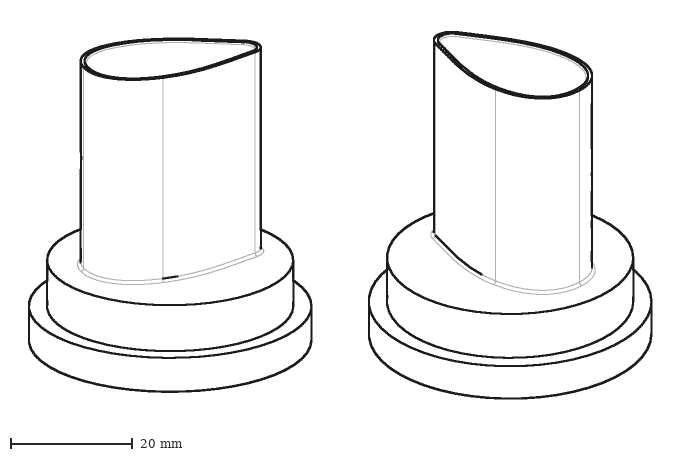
import cadquery as cq
import math

total_height = 50.0
flange_diameter = 46.4
flange_height = 6.0
hub_diameter = 40.4
hub_top = 14.1

grip_half_width = 8.65
widest_y = -4.25
blunt_end_y = -15.0
tip_radius = 3.0
tip_end_y = 15.55
tip_angle = math.radians(25)
side_handle = 6.5
blunt_fullness = 0.62

root_fillet = 0.5
rim_width = 0.65
recess_depth = 0.35
recess_fillet = 0.3


def mirrored(points):
    return [(-x, y) for x, y in points]


def teardrop(inset=0.0):
    """Teardrop drawn inset from the grip wall: round tip, swelling sides and a full blunt end."""
    half_width = grip_half_width - inset
    end_y = blunt_end_y + inset
    arc_radius = tip_radius - inset
    join_x = arc_radius * math.cos(tip_angle)
    join_y = tip_end_y - tip_radius + arc_radius * math.sin(tip_angle)

    side = [
        (join_x, join_y),
        (join_x + side_handle * math.sin(tip_angle), join_y - side_handle * math.cos(tip_angle)),
        (half_width, widest_y + side_handle),
        (half_width, widest_y),
    ]
    blunt_end = [
        (half_width, widest_y),
        (half_width, widest_y + blunt_fullness * (end_y - widest_y)),
        (blunt_fullness * half_width, end_y),
        (0, end_y),
    ]
    return (
        cq.Workplane("XY")
        .moveTo(join_x, join_y)
        .threePointArc((0, tip_end_y - inset), (-join_x, join_y))
        .bezier(mirrored(side))
        .bezier(mirrored(blunt_end))
        .bezier(blunt_end[::-1])
        .bezier(side[::-1])
        .close()
    )


def make_base():
    flange = cq.Workplane("XY").circle(flange_diameter / 2).extrude(flange_height)
    hub = cq.Workplane("XY").circle(hub_diameter / 2).extrude(hub_top)
    return flange.union(hub)


def make_grip():
    grip = teardrop().extrude(total_height - hub_top)
    return grip.translate((0, 0, hub_top))


def make_recess():
    """Shallow pocket in the grip's top, rounded where its wall meets its floor."""
    pocket = teardrop(rim_width).extrude(recess_depth)
    return pocket.faces("<Z").edges().fillet(recess_fillet).translate((0, 0, total_height - recess_depth))


knob = make_base().union(make_grip())

hub_face = knob.faces("+Z").faces(">Z[-2]")
root_edges = hub_face.val().innerWires()[0].Edges()
knob = knob.newObject(root_edges).fillet(root_fillet)

result = knob.cut(make_recess())